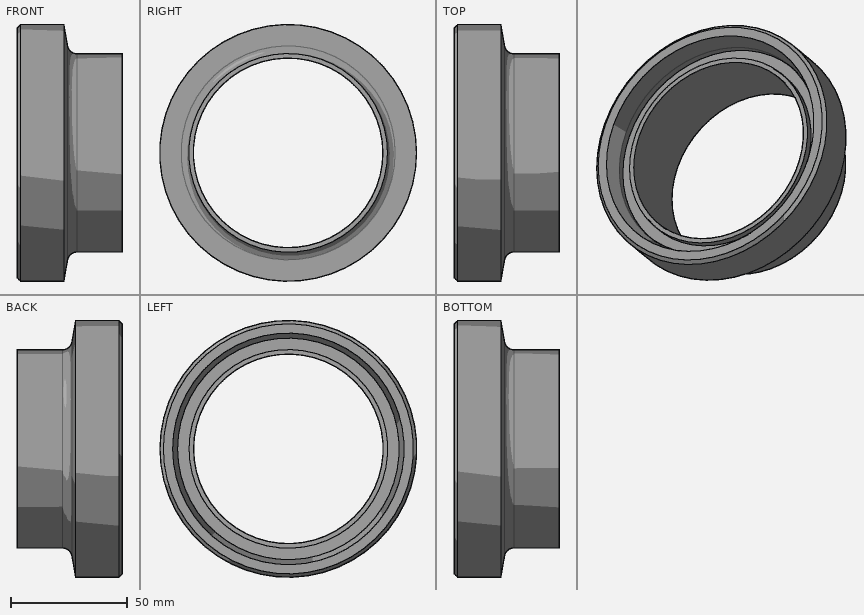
import cadquery as cq
import math

length = 45.0
bore_radius = 81.0 / 2
tube_radius = 85.0 / 2
socket_radius = 94.8 / 2
flange_radius = 110.0 / 2

rim_chamfer = 1.5
flange_width = 20.0
back_angle = math.radians(10)
neck_fillet = 4.0

socket_depth = 11.5
cone_depth = 8.0
cone_angle = math.radians(15)
lip_face_x = 8.0

mouth_radius = socket_radius + cone_depth * math.tan(cone_angle)


def neck_fillet_points():
    """Start, middle and end (x, r) of the arc blending the flange back into the tube."""
    corner_x = flange_width + (flange_radius - tube_radius) * math.tan(back_angle)
    center_x = corner_x + neck_fillet * math.tan(math.pi / 4 - back_angle / 2)
    center_r = tube_radius + neck_fillet
    start_angle = math.pi + back_angle
    end_angle = 3 * math.pi / 2
    angles = (start_angle, (start_angle + end_angle) / 2, end_angle)
    return [
        (center_x + neck_fillet * math.cos(a), center_r + neck_fillet * math.sin(a))
        for a in angles
    ]


def liner():
    """Revolve the (x, r) half section about the X axis."""
    fillet_start, fillet_middle, fillet_end = neck_fillet_points()
    section = (
        cq.Workplane("XY")
        .moveTo(0, mouth_radius)
        .lineTo(0, flange_radius - rim_chamfer)
        .lineTo(rim_chamfer, flange_radius)
        .lineTo(flange_width, flange_radius)
        .lineTo(*fillet_start)
        .threePointArc(fillet_middle, fillet_end)
        .lineTo(length, tube_radius)
        .lineTo(length, bore_radius)
        .lineTo(lip_face_x, bore_radius)
        .lineTo(lip_face_x, tube_radius)
        .lineTo(socket_depth, tube_radius)
        .lineTo(socket_depth, socket_radius)
        .lineTo(cone_depth, socket_radius)
        .close()
    )
    return section.revolve(360, (0, 0, 0), (1, 0, 0))


result = liner()